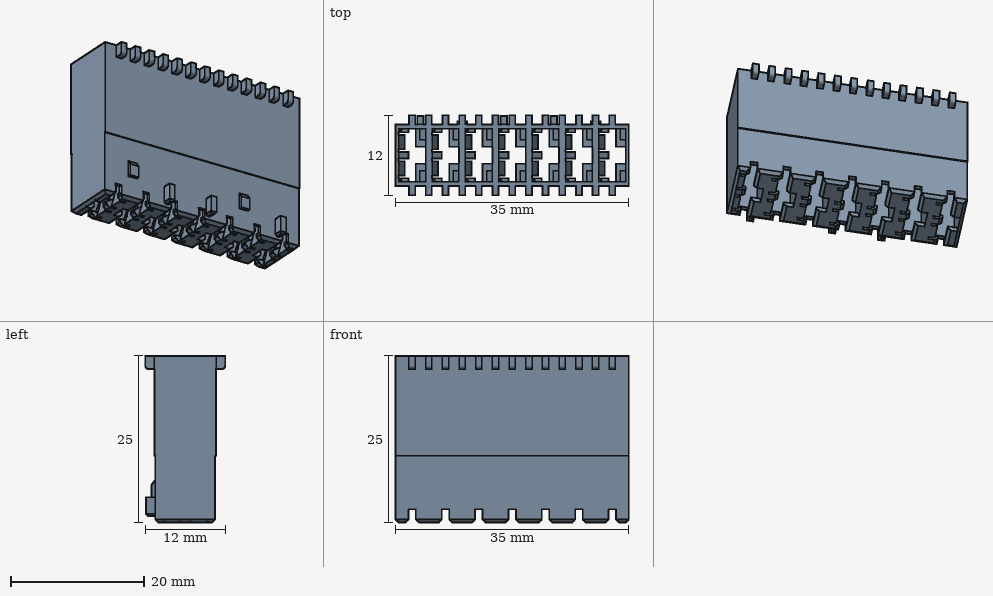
import cadquery as cq
import math

length = 35.0
cell_count = 7
pitch = length / cell_count
height = 25.0
upper_depth = 9.28
lower_depth = 9.0
step_height = 10.0
bottom_chamfer = 0.5

end_wall = 0.5
cell_width = pitch - 2 * end_wall
cell_depth = 7.88

overall_depth = 12.0
rib_pitch = pitch / 2
rib_count = 2 * cell_count - 1
rib_width = 0.95
rib_height = 2.0
rib_radius = 0.52

slot_width = 1.1
slot_height = 2.0

key_gaps = [1, 6, 9]
key_width = 0.98
key_bottom = 0.98
key_top = 3.8
key_reach = 5.88
key_chamfer = 0.3

latch_dividers = [2, 6]
latch_width = 1.5
latch_reach = 5.08
latch_ramp_bottom = 5.65
latch_top = 6.37

stop_reach = (cell_width - slot_width) / 2
stop_height = 0.95
corner_pad_depth = 0.52
gusset_reach = 0.55
gusset_rise = 1.7
middle_stop_depth = 1.0
middle_stop_angle = 30.0
ramp_inner = 0.88
ramp_outer = 3.05
ramp_reach = 0.9
ramp_angle = 75.0
ledge_inner = 1.25
wedge_inner = 2.35
wedge_reach = 0.85
wedge_angle = 55.0


def block(x_range, y_range, z_range):
    """Box between two values on each axis."""
    size = [end - start for start, end in (x_range, y_range, z_range)]
    corner = (x_range[0], y_range[0], z_range[0])
    return cq.Workplane("XY").box(*size, centered=False).translate(corner)


def extrude_along_y(xz_points, y_start, y_end):
    """Prism with an outline in XZ, running from y_start to y_end."""
    plane = cq.Workplane("XZ", origin=(0, y_start, 0))
    return plane.polyline(xz_points).close().extrude(y_start - y_end)


def extrude_along_x(yz_points, x_middle, width):
    """Prism with an outline in YZ, centred on x_middle."""
    plane = cq.Workplane("YZ", origin=(x_middle - width / 2, 0, 0))
    return plane.polyline(yz_points).close().extrude(width)


def rise(reach, angle):
    """Height gained over a horizontal reach by a face at the given angle to the horizontal."""
    return reach * math.tan(math.radians(angle))


def make_shell():
    """Stepped outer block with a chamfered bottom, hollowed by the cells."""
    lower = block((0, length), (-lower_depth / 2, lower_depth / 2), (0, step_height))
    lower = lower.faces("<Z").chamfer(bottom_chamfer)
    upper = block((0, length), (-upper_depth / 2, upper_depth / 2), (step_height, height))
    shell = lower.union(upper)
    for cell in range(cell_count):
        left = cell * pitch + end_wall
        cell_y = (-cell_depth / 2, cell_depth / 2)
        shell = shell.cut(block((left, left + cell_width), cell_y, (0, height)))
    return shell


def make_corner_gusset(wall_y, side):
    """Three-sided brace on a corner pad, against the left wall and the wall at wall_y."""
    base = [(0, wall_y), (gusset_reach, wall_y), (0, wall_y - side * corner_pad_depth)]
    bottom = [cq.Vector(x, y, stop_height) for x, y in base]
    peak = cq.Vector(0, wall_y, stop_height + gusset_rise)
    triangles = [bottom]
    for i in range(3):
        triangles.append([bottom[i], bottom[(i + 1) % 3], peak])
    faces = [cq.Face.makeFromWires(cq.Wire.makePolygon(points, close=True)) for points in triangles]
    return cq.Workplane(obj=cq.Solid.makeSolid(cq.Shell.makeShell(faces)))


def make_cell_stops():
    """Stops of one cell, with X = 0 on the left wall of the cell."""
    middle_top = stop_height + rise(stop_reach, middle_stop_angle)
    middle_outline = [(0, 0), (stop_reach, 0), (stop_reach, stop_height), (0, middle_top)]
    ramp_outline = [(0, 0), (ramp_reach, 0), (0, rise(ramp_reach, ramp_angle))]
    wedge_outline = [
        (cell_width - wedge_reach, stop_height),
        (cell_width, stop_height),
        (cell_width, stop_height + rise(wedge_reach, wedge_angle)),
    ]
    stops = [extrude_along_y(middle_outline, -middle_stop_depth / 2, middle_stop_depth / 2)]
    for side in (-1, 1):
        wall_y = side * cell_depth / 2
        pad_y = sorted((wall_y, wall_y - side * corner_pad_depth))
        ledge_y = sorted((wall_y, side * ledge_inner))
        stops += [
            block((0, stop_reach), pad_y, (0, stop_height)),
            make_corner_gusset(wall_y, side),
            extrude_along_y(ramp_outline, *sorted((side * ramp_inner, side * ramp_outer))),
            block((cell_width - stop_reach, cell_width), ledge_y, (0, stop_height)),
            extrude_along_y(wedge_outline, *sorted((side * wedge_inner, wall_y))),
        ]
    return stops


def make_slot(x_middle):
    """Cutter for one bottom slot, flared at its mouth by the bottom chamfer."""
    half = slot_width / 2
    right_side = [(half + bottom_chamfer, 0), (half, bottom_chamfer), (half, slot_height)]
    left_side = [(-x, z) for x, z in reversed(right_side)]
    outline = [(x_middle + x, z) for x, z in right_side + left_side]
    return extrude_along_y(outline, -lower_depth / 2, lower_depth / 2)


def make_rib_pair(x_middle):
    """Ribs on the front and back walls, rounded along their lower outer edges."""
    x_range = (x_middle - rib_width / 2, x_middle + rib_width / 2)
    z_range = (height - rib_height, height)
    front = block(x_range, (-overall_depth / 2, -upper_depth / 2), z_range)
    front = front.faces("<Y").edges("<Z").fillet(rib_radius)
    return front.union(front.mirror("XZ"))


def make_key(x_middle):
    """Block on the back wall, chamfered around its free bottom edges."""
    x_range = (x_middle - key_width / 2, x_middle + key_width / 2)
    key = block(x_range, (lower_depth / 2, key_reach), (key_bottom, key_top))
    return key.faces("<Z").edges("<X or >X or >Y").chamfer(key_chamfer)


def make_latch(x_middle):
    """Bump on the back wall with a ramp on top."""
    wall_y = lower_depth / 2
    outline = [
        (wall_y, key_top),
        (latch_reach, key_top),
        (latch_reach, latch_ramp_bottom),
        (wall_y, latch_top),
    ]
    return extrude_along_x(outline, x_middle, latch_width)


body = make_shell()

cell_stops = make_cell_stops()
stops = []
for cell in range(cell_count):
    stops += [stop.translate((cell * pitch + end_wall, 0, 0)).val() for stop in cell_stops]
body = cq.Workplane(obj=body.val().fuse(*stops))

for cell in range(cell_count):
    body = body.cut(make_slot((cell + 0.5) * pitch))

outside_parts = []
for rib in range(1, rib_count + 1):
    outside_parts += make_rib_pair(rib * rib_pitch).solids().vals()
for gap in key_gaps:
    outside_parts.append(make_key((gap + 0.5) * rib_pitch).val())
for divider in latch_dividers:
    outside_parts.append(make_latch(divider * pitch).val())

housing = body.val().fuse(*outside_parts).clean()
result = cq.Workplane(obj=housing.Solids()[0])